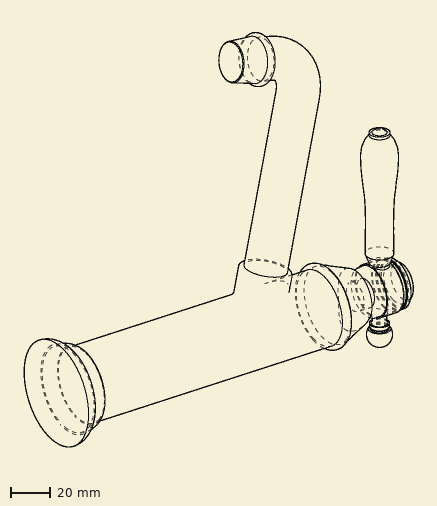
import cadquery as cq
import math

BODY_RADIUS = 20.4

BASE_DIAMETER = 57.0
BASE_DEPTH = 7.4
BASE_STEP_RADIUS = 24.0
COLLAR_START_RADIUS = 23.0
COLLAR_CROWN_RADIUS = 23.5
COLLAR_CROWN_Y = 10.0
COLLAR_END = 15.5
COLLAR_LIP_RADIUS = 21.0

BODY_BEAD_RADIUS = 2.5
BODY_BEAD_Y = 166.4

SHOULDER_RADIUS = 20.8
SHOULDER_START = BODY_BEAD_Y
SHOULDER_STRAIGHT_END = 170.3
CONE_START = 173.7
CONE_START_RADIUS = 19.7
CONE_END = 186.0
CONE_END_RADIUS = 15.0
RELIEF_RADIUS = 27.7

STEM_RADIUS = 7.8

HUB_START = 192.5
HUB_END = 211.6
HUB_RADIUS = 13.6
HUB_ROUNDING = 1.3
HUB_CHAMFER = 0.5
HUB_BAND_START = 196.0
HUB_BAND_END = 206.5
HUB_BAND_RADIUS = 14.3
HUB_GROOVE_Y = 208.8
HUB_GROOVE_WIDTH = 0.6
HUB_GROOVE_DEPTH = 0.5
CAP_RADIUS = 11.0
CAP_EDGE_Y = 213.4
CAP_DOME_RADIUS = 10.0
CAP_DOME_Y = 215.3
CAP_END = 216.6

LEVER_Y = (HUB_BAND_START + HUB_BAND_END) / 2
LEVER_NECK_RADIUS = 5.5
LEVER_NECK_TOP = 15.0
LEVER_GRIP_RADIUS = 7.4
LEVER_GRIP_BOTTOM = 20.1
LEVER_FLARE_BOTTOM = 22.7
LEVER_FLARE_MIDDLE_RADIUS = 7.5
LEVER_FLARE_MIDDLE = 49.8
LEVER_HEAD_RADIUS = 9.7
LEVER_HEAD_Z = 76.3
LEVER_HEAD_TOP = 88.0
BUTTON_RADIUS = 5.5
BUTTON_RIM_TOP = 89.5
BUTTON_DOME_RADIUS = 4.0
BUTTON_TOP = 91.5

FINIAL_ROOT_RADIUS = 4.8
FINIAL_ROOT_Z = -13.0
FINIAL_NECK_RADIUS = 3.7
FINIAL_NECK_Z = -17.1
FINIAL_NECK_END_RADIUS = 4.3
FINIAL_RING_RADIUS = 5.2
FINIAL_RING_TOP = -19.7
FINIAL_RING_BOTTOM = -21.9
BALL_COLLAR_RADIUS = 4.8
BALL_SHOULDER_RADIUS = 5.8
BALL_RADIUS = 6.7
BALL_Z = -26.2

SPOUT_Y = 123.5
SPOUT_TILT = 12.0
TUBE_RADIUS = 11.3
TUBE_LENGTH = 129.0
BEND_RADIUS = 21.7
SOCKET_RADIUS = 13.9
SOCKET_LENGTH = 33.1
SOCKET_ROUNDING = 1.3
SOCKET_ROOT_FILLET = 2.0
ROOT_SEARCH_MARGIN = 2.2
SPOUT_BEAD_RADIUS = 2.4
SPOUT_BEAD_CENTRE_RADIUS = 11.5
SPOUT_BEAD_OFFSET = 8.9
NOZZLE_START_RADIUS = 12.3
NOZZLE_END_RADIUS = 10.6
NOZZLE_END_OFFSET = 25.5
NOZZLE_CHAMFER = 0.5


def tangent_arc_middle(flat, steep):
    """Middle of an arc from flat to steep, parallel to the axis at flat.

    Points are (radius, station).
    """
    drop = flat[0] - steep[0]
    run = steep[1] - flat[1]
    radius = (drop ** 2 + run ** 2) / (2 * drop)
    half_angle = math.asin(run / radius) / 2
    middle_radius = flat[0] - radius * (1 - math.cos(half_angle))
    return (middle_radius, flat[1] + radius * math.sin(half_angle))


def dome_middle(rim_radius, rim_station, top_station):
    """Middle of the arc from a dome's rim to its top on the axis, as (radius, station)."""
    height = top_station - rim_station
    sphere_radius = (rim_radius ** 2 + height ** 2) / (2 * height)
    middle_radius = rim_radius / 2
    middle_drop = sphere_radius - math.sqrt(sphere_radius ** 2 - middle_radius ** 2)
    return (middle_radius, top_station - middle_drop)


def turned_about_y(outline):
    """Turn an outline drawn in (X = radius, Y = station) about the Y axis."""
    return outline.close().revolve(360, (0, 0), (0, 1))


def bead(centre_radius, section_radius, station):
    """Half-round ring around the Y axis, on a solid core."""
    start = station - section_radius
    end = station + section_radius
    return turned_about_y(
        cq.Workplane("XY")
        .moveTo(0, start)
        .lineTo(centre_radius, start)
        .threePointArc((centre_radius + section_radius, station), (centre_radius, end))
        .lineTo(0, end)
    )


def body():
    flange_edge = (BASE_DIAMETER / 2, 0)
    flange_step = (BASE_STEP_RADIUS, BASE_DEPTH)
    collar_crown = (COLLAR_CROWN_RADIUS, COLLAR_CROWN_Y)
    return turned_about_y(
        cq.Workplane("XY")
        .lineTo(*flange_edge)
        .threePointArc(tangent_arc_middle(flange_edge, flange_step), flange_step)
        .lineTo(COLLAR_START_RADIUS, BASE_DEPTH)
        .threePointArc(collar_crown, (COLLAR_LIP_RADIUS, COLLAR_END))
        .lineTo(BODY_RADIUS, COLLAR_END)
        .lineTo(BODY_RADIUS, SHOULDER_START)
        .lineTo(0, SHOULDER_START)
    )


def shoulder():
    straight_end = (SHOULDER_RADIUS, SHOULDER_STRAIGHT_END)
    cone_start = (CONE_START_RADIUS, CONE_START)
    cone = turned_about_y(
        cq.Workplane("XY")
        .moveTo(0, SHOULDER_START)
        .lineTo(SHOULDER_RADIUS, SHOULDER_START)
        .lineTo(*straight_end)
        .threePointArc(tangent_arc_middle(straight_end, cone_start), cone_start)
        .lineTo(CONE_END_RADIUS, CONE_END)
        .lineTo(0, CONE_END)
    )
    relief_centre = CONE_END - RELIEF_RADIUS
    diagonal = RELIEF_RADIUS * math.sqrt(0.5)
    relief = (
        cq.Workplane("YZ")
        .moveTo(CONE_END, 0)
        .threePointArc((relief_centre + diagonal, -diagonal), (relief_centre, -RELIEF_RADIUS))
        .lineTo(CONE_END, -RELIEF_RADIUS)
        .close()
        .extrude(SHOULDER_RADIUS, both=True)
    )
    return cone.cut(relief)


def stem():
    return turned_about_y(
        cq.Workplane("XY")
        .moveTo(0, CONE_START)
        .lineTo(STEM_RADIUS, CONE_START)
        .lineTo(STEM_RADIUS, HUB_BAND_START)
        .lineTo(0, HUB_BAND_START)
    )


def hub():
    groove_start = HUB_GROOVE_Y - HUB_GROOVE_WIDTH / 2
    groove_end = HUB_GROOVE_Y + HUB_GROOVE_WIDTH / 2
    groove_radius = HUB_RADIUS - HUB_GROOVE_DEPTH
    corner_radius = HUB_RADIUS - HUB_ROUNDING
    corner_offset = HUB_ROUNDING * math.sqrt(0.5)
    corner_y = HUB_START + HUB_ROUNDING
    cap_edge = (CAP_RADIUS, CAP_EDGE_Y)
    cap_dome = (CAP_DOME_RADIUS, CAP_DOME_Y)
    return turned_about_y(
        cq.Workplane("XY")
        .moveTo(0, HUB_START)
        .lineTo(corner_radius, HUB_START)
        .threePointArc((corner_radius + corner_offset, corner_y - corner_offset), (HUB_RADIUS, corner_y))
        .lineTo(HUB_RADIUS, HUB_BAND_START)
        .lineTo(HUB_BAND_RADIUS, HUB_BAND_START)
        .lineTo(HUB_BAND_RADIUS, HUB_BAND_END)
        .lineTo(HUB_RADIUS, HUB_BAND_END)
        .lineTo(HUB_RADIUS, groove_start)
        .lineTo(groove_radius, groove_start)
        .lineTo(groove_radius, groove_end)
        .lineTo(HUB_RADIUS, groove_end)
        .lineTo(HUB_RADIUS, HUB_END - HUB_CHAMFER)
        .lineTo(HUB_RADIUS - HUB_CHAMFER, HUB_END)
        .lineTo(CAP_RADIUS, HUB_END)
        .lineTo(*cap_edge)
        .threePointArc(tangent_arc_middle(cap_edge, cap_dome), cap_dome)
        .threePointArc(dome_middle(CAP_DOME_RADIUS, CAP_DOME_Y, CAP_END), (0, CAP_END))
    )


def lever():
    """Upright handle with its ball finial, turned about a vertical axis through the hub."""
    flare_middle = (LEVER_FLARE_MIDDLE_RADIUS, LEVER_FLARE_MIDDLE)
    head = (LEVER_HEAD_RADIUS, LEVER_HEAD_Z)
    head_top = (BUTTON_RADIUS, LEVER_HEAD_TOP)
    ball_top_z = BALL_Z + math.sqrt(BALL_RADIUS ** 2 - BALL_SHOULDER_RADIUS ** 2)
    outline = (
        cq.Workplane("XZ", origin=(0, LEVER_Y, 0))
        .moveTo(0, BALL_Z - BALL_RADIUS)
        .threePointArc((BALL_RADIUS, BALL_Z), (BALL_SHOULDER_RADIUS, ball_top_z))
        .lineTo(BALL_COLLAR_RADIUS, ball_top_z)
        .lineTo(BALL_COLLAR_RADIUS, FINIAL_RING_BOTTOM)
        .lineTo(FINIAL_RING_RADIUS, FINIAL_RING_BOTTOM)
        .lineTo(FINIAL_RING_RADIUS, FINIAL_RING_TOP)
        .lineTo(FINIAL_NECK_END_RADIUS, FINIAL_RING_TOP)
        .threePointArc((FINIAL_NECK_RADIUS, FINIAL_NECK_Z), (FINIAL_ROOT_RADIUS, FINIAL_ROOT_Z))
        .lineTo(LEVER_NECK_RADIUS, 0)
        .lineTo(LEVER_NECK_RADIUS, LEVER_NECK_TOP)
        .lineTo(LEVER_GRIP_RADIUS, LEVER_GRIP_BOTTOM)
        .lineTo(LEVER_GRIP_RADIUS, LEVER_FLARE_BOTTOM)
        .spline([flare_middle, head], tangents=[(0, 1), (0, 1)], includeCurrent=True)
        .threePointArc(tangent_arc_middle(head, head_top), head_top)
        .lineTo(BUTTON_RADIUS, BUTTON_RIM_TOP)
        .lineTo(BUTTON_DOME_RADIUS, BUTTON_RIM_TOP)
        .threePointArc(dome_middle(BUTTON_DOME_RADIUS, BUTTON_RIM_TOP, BUTTON_TOP), (0, BUTTON_TOP))
    )
    return outline.close().revolve(360, (0, 0), (0, 1))


def tilt_spout(upright):
    """Lean a piece built upright on the Z axis and carry it to the spout position."""
    return upright.rotate((0, 0, 0), (1, 0, 0), -SPOUT_TILT).translate((0, SPOUT_Y, 0))


def socket_on_body():
    """Body with the tilted spout socket blended into it."""
    socket = (
        cq.Workplane("XY")
        .circle(SOCKET_RADIUS)
        .extrude(SOCKET_LENGTH)
        .faces(">Z")
        .edges()
        .fillet(SOCKET_ROUNDING)
    )
    joined = body().union(tilt_spout(socket))
    half_width = SOCKET_RADIUS + ROOT_SEARCH_MARGIN
    root_top = BODY_RADIUS + ROOT_SEARCH_MARGIN
    root = cq.selectors.BoxSelector(
        (-half_width, SPOUT_Y - BODY_RADIUS, 0),
        (half_width, SPOUT_Y + BODY_RADIUS, root_top),
    )
    return joined.edges(root).fillet(SOCKET_ROOT_FILLET)


def spout():
    """Tube, quarter bend and nozzle, built upright with the outlet pointing to -Y."""
    bend_end_z = TUBE_LENGTH + BEND_RADIUS
    diagonal = BEND_RADIUS * math.sqrt(0.5)
    bend_middle = (diagonal - BEND_RADIUS, TUBE_LENGTH + diagonal)
    path = (
        cq.Workplane("YZ")
        .lineTo(0, TUBE_LENGTH)
        .threePointArc(bend_middle, (-BEND_RADIUS, bend_end_z))
        .lineTo(-BEND_RADIUS - SPOUT_BEAD_OFFSET, bend_end_z)
    )
    tube = cq.Workplane("XY").circle(TUBE_RADIUS).sweep(path)

    nozzle = turned_about_y(
        cq.Workplane("XY")
        .moveTo(0, -SPOUT_BEAD_OFFSET)
        .lineTo(NOZZLE_START_RADIUS, -SPOUT_BEAD_OFFSET)
        .lineTo(NOZZLE_END_RADIUS, -NOZZLE_END_OFFSET)
        .lineTo(0, -NOZZLE_END_OFFSET)
    )
    nozzle = nozzle.faces("<Y").edges().chamfer(NOZZLE_CHAMFER)
    ring = bead(SPOUT_BEAD_CENTRE_RADIUS, SPOUT_BEAD_RADIUS, -SPOUT_BEAD_OFFSET)
    outlet = nozzle.union(ring).translate((0, -BEND_RADIUS, bend_end_z))
    return tilt_spout(tube.union(outlet))


result = (
    socket_on_body()
    .union(shoulder())
    .union(bead(BODY_RADIUS, BODY_BEAD_RADIUS, BODY_BEAD_Y))
    .union(stem())
    .union(hub())
    .union(lever())
    .union(spout())
)